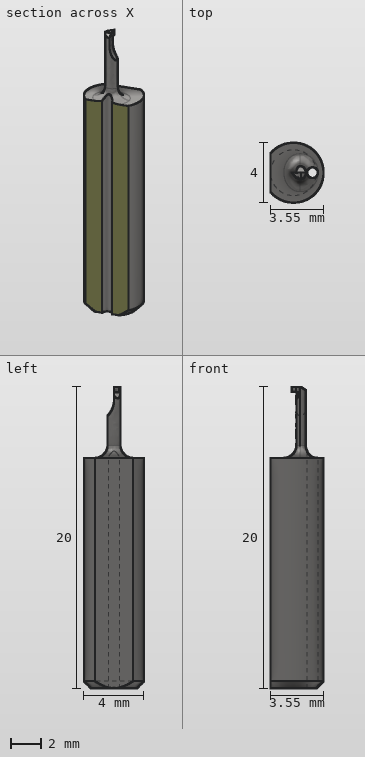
import cadquery as cq
import math

total_height = 20
shank_height = 15.3
shank_radius = 2
flat_x = -1.55
end_chamfer = 0.48
coolant_diameter = 0.7
coolant_x = 1.25

neck_x = 0.45
neck_half_width = 0.45
neck_left = 0.18
neck_right = 0.82
flare_radius = 0.82

hook_tip_x = -0.12
hook_height = 0.32
hook_heel_y = -0.35
back_chamfer_x = 0.5
back_chamfer_height = 0.22
relief_radius = 1.5
relief_bottom = 18.08
undercut_depth = 0.08
undercut_flat_height = 0.12
undercut_slope_height = 0.32
undercut_angle = 20
clearance = 1

hook_bottom = total_height - hook_height


def make_shank():
    """Round shank, chamfered at its lower end, with one long flat."""
    body = cq.Workplane("XY").circle(shank_radius).extrude(shank_height)
    body = body.faces("<Z").chamfer(end_chamfer)
    kept_side = cq.Workplane("XY").box(
        shank_radius - flat_x, 2 * shank_radius, shank_height, centered=(False, True, False)
    ).translate((flat_x, 0, 0))
    return body.intersect(kept_side)


def make_neck():
    """Slender stem with an oval section of two unequal half ellipses."""
    left_reach = neck_x - neck_left
    right_reach = neck_right - neck_x
    return (
        cq.Workplane("XY", origin=(0, 0, shank_height))
        .center(neck_x, 0)
        .moveTo(0, -neck_half_width)
        .ellipseArc(right_reach, neck_half_width, -90, 90, startAtCurrent=True)
        .ellipseArc(left_reach, neck_half_width, 90, 270, startAtCurrent=True)
        .close()
        .extrude(total_height - shank_height)
    )


def add_flare(body):
    """Concave fillet where the neck meets the top of the shank."""
    margin = 0.02
    selector = cq.selectors.BoxSelector(
        (neck_left - margin, -neck_half_width - margin, shank_height - margin),
        (neck_right + margin, neck_half_width + margin, shank_height + margin),
        boundingbox=True,
    )
    return body.edges(selector).fillet(flare_radius)


def make_undercut():
    """Relief below the hook: a short upright flat, then a slope out to the neck surface."""
    turn = math.radians(undercut_angle)
    neck_reach = math.hypot(
        (neck_x - neck_left) * math.cos(turn), neck_half_width * math.sin(turn)
    )
    inner = -neck_reach + undercut_depth
    outer = inner - clearance
    slope_top = hook_bottom - undercut_flat_height
    slope_bottom = slope_top - undercut_slope_height * clearance / undercut_depth
    profile = [
        (inner, hook_bottom),
        (inner, slope_top),
        (outer, slope_bottom),
        (outer, hook_bottom),
    ]
    return (
        cq.Workplane("XZ")
        .polyline(profile)
        .close()
        .extrude(neck_half_width, both=True)
        .rotate((0, 0, 0), (0, 0, 1), undercut_angle)
        .translate((neck_x, 0, 0))
    )


def make_hook():
    """Triangular cutting tooth projecting sideways at the tip."""
    return (
        cq.Workplane("XY", origin=(0, 0, hook_bottom))
        .polyline([(hook_tip_x, 0), (neck_left, hook_heel_y), (neck_x, -neck_half_width), (neck_x, 0)])
        .close()
        .extrude(hook_height)
    )


def make_face_relief():
    """Removes the +Y half of the tip, running out along a concave arc."""
    run_out = math.sqrt(relief_radius**2 - (relief_radius - neck_half_width) ** 2)
    arc_top = relief_bottom + run_out
    half_turn = math.asin(run_out / relief_radius) / 2
    arc_middle = (
        relief_radius * (1 - math.cos(half_turn)),
        arc_top - relief_radius * math.sin(half_turn),
    )
    outer_y = neck_half_width + clearance
    return (
        cq.Workplane("YZ")
        .moveTo(0, total_height)
        .lineTo(0, arc_top)
        .threePointArc(arc_middle, (neck_half_width, relief_bottom))
        .lineTo(outer_y, relief_bottom)
        .lineTo(outer_y, total_height)
        .close()
        .extrude(shank_radius, both=True)
    )


def make_back_chamfer():
    """Sloped cut on the back of the tip."""
    return (
        cq.Workplane("XZ")
        .polyline([
            (back_chamfer_x, total_height),
            (neck_right, total_height),
            (neck_right, total_height - back_chamfer_height),
        ])
        .close()
        .extrude(shank_radius, both=True)
    )


coolant_hole = (
    cq.Workplane("XY").center(coolant_x, 0).circle(coolant_diameter / 2).extrude(total_height)
)

result = add_flare(make_shank().union(make_neck()))
result = result.cut(make_undercut()).union(make_hook())
result = result.cut(make_face_relief()).cut(make_back_chamfer()).cut(coolant_hole)